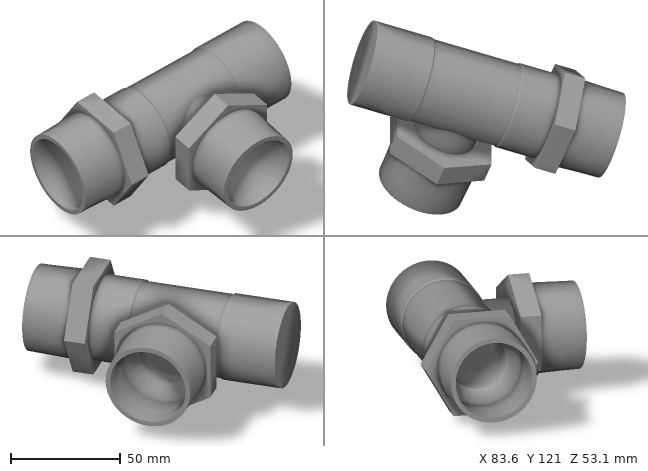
import math

import cadquery as cq

TOTAL_LENGTH = 121.0
BRANCH_REACH = 57.0
BRANCH_Y = 71.8

THREAD_LENGTH = 22.0
THREAD_TAPER = 1 / 16
THREAD_BASE_DIAMETER = 41.9
THREAD_MOUTH_DIAMETER = THREAD_BASE_DIAMETER - THREAD_LENGTH * THREAD_TAPER
HEX_FLATS = 46.0
HEX_CORNERS = HEX_FLATS / math.cos(math.radians(30))
HEX_THICKNESS = 9.9
HEX_BACK = THREAD_LENGTH + HEX_THICKNESS
BORE_DIAMETER = 36.0
BORE_DEPTH = 20.0
THROAT_DIAMETER = 26.5
THROAT_DEPTH = 30.0

COLLAR_DIAMETER = 40.0
SHOULDER_LENGTH = 0.6
FRONT_COLLAR_END = 50.1
REAR_COLLAR_START = 93.2

TEE_DIAMETER = 39.0
TEE_FRONT = FRONT_COLLAR_END + SHOULDER_LENGTH
TEE_BACK = REAR_COLLAR_START - SHOULDER_LENGTH
BRANCH_DIAMETER = 29.5
BRANCH_JOINT = 20.1


def cylinder(diameter, start, end):
    """Cylinder about Z between two heights."""
    return cq.Workplane("XY").workplane(offset=start).circle(diameter / 2).extrude(end - start)


def cone(start_diameter, end_diameter, start, end):
    """Frustum about Z between two heights."""
    return (
        cq.Workplane("XY")
        .workplane(offset=start)
        .circle(start_diameter / 2)
        .workplane(offset=end - start)
        .circle(end_diameter / 2)
        .loft(ruled=True)
    )


def along_run(body):
    """Turn a body built along +Z to lie along +Y."""
    return body.rotate((0, 0, 0), (1, 0, 0), -90)


def threaded_fitting(neck, length):
    """Hollow fitting along +Z with its mouth at Z = 0: tapered thread, hexagon and the given neck."""
    hexagon = (
        cq.Workplane("XY")
        .workplane(offset=THREAD_LENGTH)
        .polygon(6, HEX_CORNERS)
        .extrude(HEX_THICKNESS)
    )
    thread = cone(THREAD_MOUTH_DIAMETER, THREAD_BASE_DIAMETER, 0, THREAD_LENGTH)
    outside = thread.union(hexagon).union(neck)
    passage = (
        cylinder(BORE_DIAMETER, 0, BORE_DEPTH)
        .union(cone(BORE_DIAMETER, THROAT_DIAMETER, BORE_DEPTH, THROAT_DEPTH))
        .union(cylinder(THROAT_DIAMETER, THROAT_DEPTH, length))
    )
    return outside.cut(passage)


def tee_body():
    """Run cylinder with the side branch, closing the inner ends of both fittings."""
    run = along_run(cylinder(TEE_DIAMETER, TEE_FRONT, TEE_BACK))
    branch = (
        cylinder(BRANCH_DIAMETER, 0, BRANCH_JOINT)
        .rotate((0, 0, 0), (0, 1, 0), 90)
        .translate((0, BRANCH_Y, 0))
    )
    return run.union(branch)


def rear_collar():
    """Plain end piece with a chamfered shoulder that meets the tee."""
    shoulder = cone(TEE_DIAMETER, COLLAR_DIAMETER, TEE_BACK, REAR_COLLAR_START)
    collar = cylinder(COLLAR_DIAMETER, REAR_COLLAR_START, TOTAL_LENGTH)
    return along_run(shoulder.union(collar))


front_neck = cylinder(COLLAR_DIAMETER, HEX_BACK, FRONT_COLLAR_END).union(
    cone(COLLAR_DIAMETER, TEE_DIAMETER, FRONT_COLLAR_END, TEE_FRONT)
)
front_fitting = along_run(threaded_fitting(front_neck, TEE_FRONT))

branch_fitting_length = BRANCH_REACH - BRANCH_JOINT
branch_neck = cylinder(BRANCH_DIAMETER, HEX_BACK, branch_fitting_length)
branch_fitting = (
    threaded_fitting(branch_neck, branch_fitting_length)
    .rotate((0, 0, 0), (0, 1, 0), -90)
    .translate((BRANCH_REACH, BRANCH_Y, 0))
)

tee = tee_body()
end_collar = rear_collar()

result = cq.Compound.makeCompound(
    [tee.val(), front_fitting.val(), branch_fitting.val(), end_collar.val()]
)